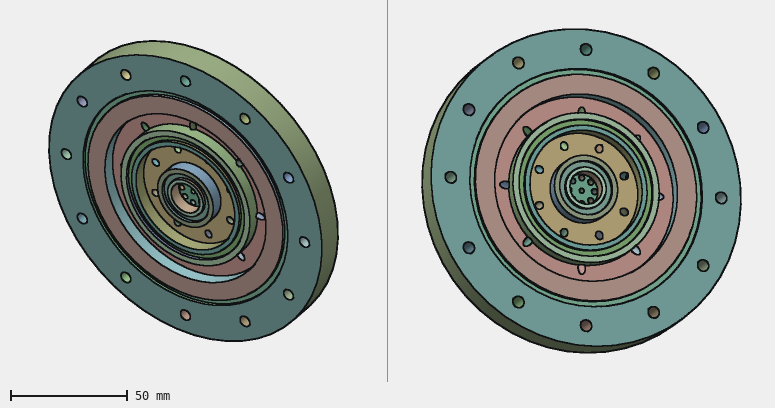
import cadquery as cq
import math


flange_radius = 69.8
flange_thickness = 12.7
total_thickness = 22.2
cone_top_radius = 21.0
cone_slope = 30
cone_base_radius = cone_top_radius + (total_thickness - flange_thickness) / math.tan(math.radians(cone_slope))

recess_depth = 6.0
outer_channel_radii = (33.0, 41.2)
inner_channel_radii = (14.2, 25.3)
bore_radius = 7.3

groove_depth = 1.5
groove_radii = [(9.1, 11.9), (27.5, 30.2), (49.9, 52.4)]

bolt_count = 12
bolt_circle_radius = 60.9
bolt_hole_diameter = 5.0

orifice_count = 8
orifice_circle_radius = 5.7
orifice_diameter = 2.5
center_orifice_diameter = 2.1

jet_count = 8
jet_pitch = 360 / jet_count
jet_diameter = 3.2
inner_jet_radius = 20.7
inner_jet_tilt = 30
outer_jet_radius = 34.1
outer_jet_tilt = -55
jet_start_overlap = 2.8
jet_length = 2 * total_thickness


def body():
    """Flange and cone, revolved about the Y axis."""
    profile = [
        (0, 0),
        (0, flange_radius),
        (flange_thickness, flange_radius),
        (flange_thickness, cone_base_radius),
        (total_thickness, cone_top_radius),
        (total_thickness, 0),
    ]
    return cq.Workplane("YZ").polyline(profile).close().revolve(360, (0, 0), (1, 0))


def ring_cut(inner_radius, outer_radius, depth):
    """Ring-shaped cutter sunk into the flat face; an inner radius of 0 gives a disc."""
    return (
        cq.Workplane("YZ")
        .moveTo(0, inner_radius)
        .rect(depth, outer_radius - inner_radius, centered=False)
        .revolve(360, (0, 0), (1, 0))
    )


def straight_holes(count, circle_radius, diameter):
    """Circle of through holes parallel to the axis, the first one on +X."""
    return (
        cq.Workplane("XZ")
        .polarArray(circle_radius, 0, 360, count)
        .circle(diameter / 2)
        .extrude(-total_thickness)
    )


def jet(floor_radius, tilt, angle):
    """Tilted hole that crosses the channel floor at floor_radius; a positive tilt leans outward."""
    lean = math.radians(tilt)
    direction = cq.Vector(math.sin(lean), math.cos(lean), 0)
    start = cq.Vector(floor_radius, recess_depth, 0) - direction * jet_start_overlap
    cutter = cq.Solid.makeCylinder(jet_diameter / 2, jet_length, start, direction)
    return cutter.rotate(cq.Vector(0, 0, 0), cq.Vector(0, 1, 0), angle)


result = body()

for radii in (outer_channel_radii, inner_channel_radii, (0, bore_radius)):
    result = result.cut(ring_cut(*radii, recess_depth))
for radii in groove_radii:
    result = result.cut(ring_cut(*radii, groove_depth))

result = result.cut(straight_holes(bolt_count, bolt_circle_radius, bolt_hole_diameter))
result = result.cut(straight_holes(orifice_count, orifice_circle_radius, orifice_diameter))
result = result.cut(straight_holes(1, 0, center_orifice_diameter))

for index in range(jet_count):
    outer_angle = index * jet_pitch
    result = result.cut(jet(outer_jet_radius, outer_jet_tilt, outer_angle))
    result = result.cut(jet(inner_jet_radius, inner_jet_tilt, outer_angle + jet_pitch / 2))